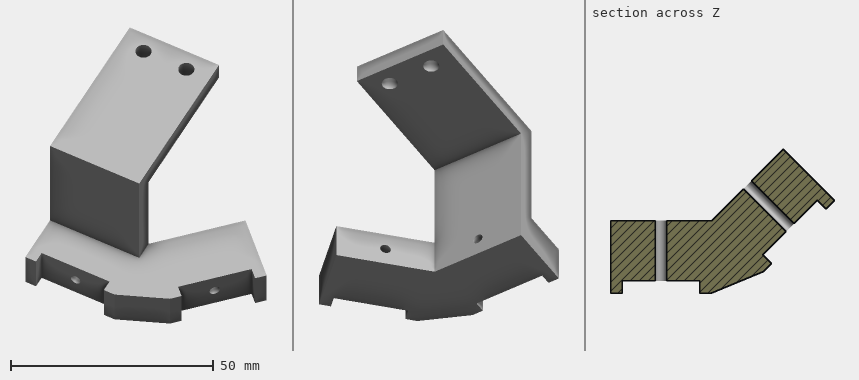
import cadquery as cq
import math

arm_length = 25.0
arm_depth = 18.0
arm_height = 10.0
arm_angle = 45.0

lip_width = 3.0
recess_depth = 3.0
screw_hole_diameter = 2.7

total_height = 40.0
total_depth = 55.0
wall_thickness = 5.0
plate_thickness = 5.0

plate_hole_diameter = 4.0
plate_hole_spacing = 12.0
first_plate_hole_x = 6.5
plate_hole_edge_distance = 5.0

wall_front = arm_depth - wall_thickness
recess_length = arm_length - 2 * lip_width


def box_at(x, y, z, length, depth, height):
    """Box given by its lowest corner and its sizes along X, Y and Z."""
    return cq.Workplane("XY").box(length, depth, height, centered=False).translate((x, y, z))


def make_arm():
    """Recessed bar along X with a screw hole through its depth."""
    bar = box_at(0, 0, 0, arm_length, arm_depth, arm_height)
    recess = box_at(lip_width, 0, 0, recess_length, recess_depth, arm_height)
    screw_hole = (
        cq.Workplane("XZ")
        .center(arm_length / 2, arm_height / 2)
        .circle(screw_hole_diameter / 2)
        .extrude(-arm_depth)
    )
    return bar.cut(recess).cut(screw_hole)


def make_angled_arm():
    """Second arm, starting at the inner corner and turned away from the first."""
    pivot_bottom = (arm_length, arm_depth, 0)
    pivot_top = (arm_length, arm_depth, arm_height)
    return (
        make_arm()
        .translate((arm_length, 0, 0))
        .rotate(pivot_bottom, pivot_top, arm_angle)
    )


def make_corner_wedge():
    """Triangular filler between the facing ends of the two arms."""
    angle = math.radians(arm_angle)
    turned_corner = (
        arm_length + arm_depth * math.sin(angle),
        arm_depth - arm_depth * math.cos(angle),
    )
    return (
        cq.Workplane("XY")
        .moveTo(arm_length, arm_depth)
        .lineTo(arm_length, 0)
        .lineTo(*turned_corner)
        .close()
        .extrude(arm_height)
    )


def make_bracket():
    """Upright wall on the first arm, carrying the drilled mounting plate."""
    wall = box_at(0, wall_front, arm_height, arm_length, wall_thickness, total_height - arm_height)
    plate = box_at(
        0,
        wall_front,
        total_height - plate_thickness,
        arm_length,
        total_depth - wall_front,
        plate_thickness,
    )
    hole_y = total_depth - plate_hole_edge_distance
    hole_centres = [
        (first_plate_hole_x, hole_y),
        (first_plate_hole_x + plate_hole_spacing, hole_y),
    ]
    holes = (
        cq.Workplane("XY")
        .pushPoints(hole_centres)
        .circle(plate_hole_diameter / 2)
        .extrude(total_height)
    )
    return wall.union(plate).cut(holes)


result = (
    make_arm()
    .union(make_corner_wedge())
    .union(make_angled_arm())
    .union(make_bracket())
    .clean()
)